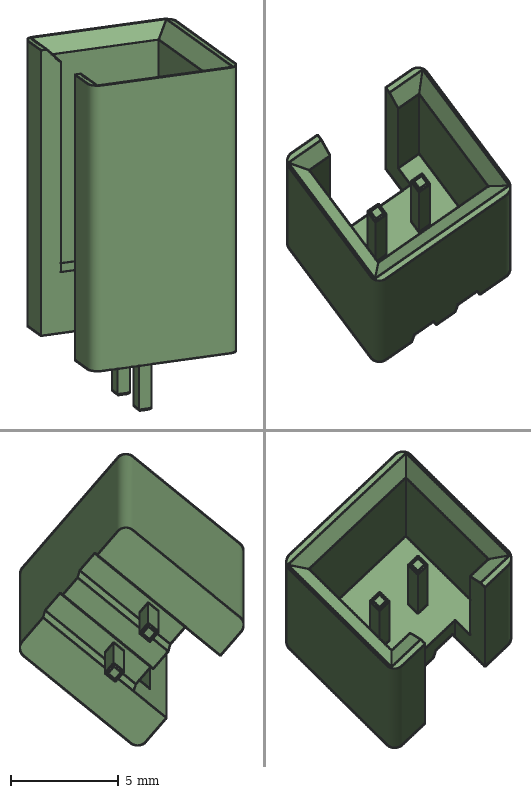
import cadquery as cq

BODY_X = 7.9
BODY_Y = 7.5
BODY_Z = 14.0
CORNER_RADIUS = 0.5

CAVITY_X = 6.3
CAVITY_Y = 5.5
FLOOR_Z = 3.0
LEAD_IN = 0.7

SLOT_X = 3.9
SLOT_Y = 1.99

PIN_COUNT = 2
PIN_PITCH = 2.5
PIN_SIZE = 0.64
PIN_TOP_Z = 10.0
PIN_BOTTOM_Z = -3.1
PIN_CHAMFER = 0.1

GROOVE_BOTTOM_X = 1.4
GROOVE_TOP_X = 1.1
GROOVE_Z = 0.9


def make_body():
    body = cq.Workplane("XY").box(BODY_X, BODY_Y, BODY_Z, centered=(True, True, False))
    return body.edges("|Z").fillet(CORNER_RADIUS)


def make_cavity():
    shaft = cq.Workplane("XY", origin=(0, 0, FLOOR_Z)).box(
        CAVITY_X, CAVITY_Y, BODY_Z - FLOOR_Z, centered=(True, True, False)
    )
    mouth = (
        cq.Workplane("XY", origin=(0, 0, BODY_Z - LEAD_IN))
        .rect(CAVITY_X, CAVITY_Y)
        .workplane(offset=LEAD_IN)
        .rect(CAVITY_X + 2 * LEAD_IN, CAVITY_Y + 2 * LEAD_IN)
        .loft(ruled=True)
    )
    return shaft.union(mouth)


def make_slot():
    return cq.Workplane("XY", origin=(0, (SLOT_Y - BODY_Y) / 2, 0)).box(
        SLOT_X, SLOT_Y, BODY_Z, centered=(True, True, False)
    )


def make_groove(x):
    return (
        cq.Workplane("XZ", origin=(x, 0, 0))
        .moveTo(-GROOVE_BOTTOM_X / 2, 0)
        .lineTo(GROOVE_BOTTOM_X / 2, 0)
        .lineTo(GROOVE_TOP_X / 2, GROOVE_Z)
        .lineTo(-GROOVE_TOP_X / 2, GROOVE_Z)
        .close()
        .extrude(BODY_Y / 2, both=True)
    )


def make_pin(x):
    pin = cq.Workplane("XY", origin=(x, 0, PIN_BOTTOM_Z)).box(
        PIN_SIZE, PIN_SIZE, PIN_TOP_Z - PIN_BOTTOM_Z, centered=(True, True, False)
    )
    return pin.faces("<Z or >Z").chamfer(PIN_CHAMFER)


pin_positions = [(i - (PIN_COUNT - 1) / 2) * PIN_PITCH for i in range(PIN_COUNT)]

result = make_body().cut(make_cavity()).cut(make_slot())
for pin_x in pin_positions:
    result = result.cut(make_groove(pin_x))
for pin_x in pin_positions:
    result = result.union(make_pin(pin_x))